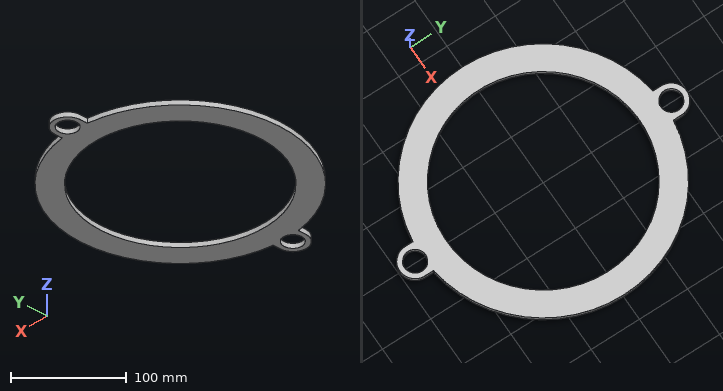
import cadquery as cq

thickness = 5.5
ring_outer_diameter = 251.2
ring_bore_diameter = 200.0
overall_length = 298
lug_width = 32.2
lug_hole_diameter = 21.5

lug_centre_y = (overall_length - lug_width) / 2


def disc(diameter, y=0):
    return cq.Workplane("XY").center(0, y).circle(diameter / 2).extrude(thickness)


def lug(y):
    """Straight-sided tab from the ring centre, rounded about the eyelet."""
    neck = cq.Workplane("XY").center(0, y / 2).rect(lug_width, abs(y)).extrude(thickness)
    return neck.union(disc(lug_width, y))


lug_positions = (lug_centre_y, -lug_centre_y)

result = disc(ring_outer_diameter)
for y in lug_positions:
    result = result.union(lug(y))
for y in lug_positions:
    result = result.cut(disc(lug_hole_diameter, y))
result = result.cut(disc(ring_bore_diameter))